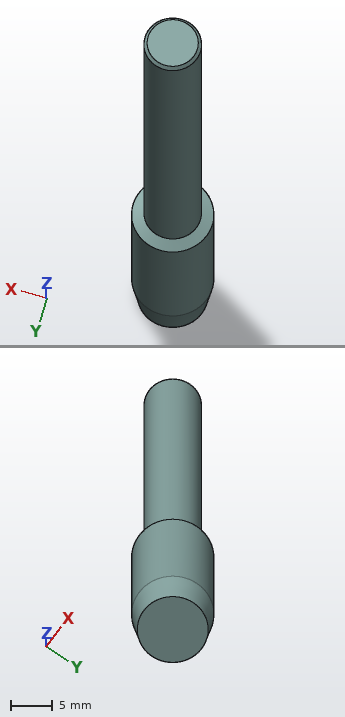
import cadquery as cq
import math

total_length = 75.0
head_diameter = 10.0
shank_diameter = 7.0

head_length = 24.0
lead_in_length = 5.0
lead_in_angle = 8.0

flare_angle = 20.0
bevel = 0.4

head_radius = head_diameter / 2
shank_radius = shank_diameter / 2
lead_in_radius = head_radius - lead_in_length * math.tan(math.radians(lead_in_angle))
flare_height = (head_radius - shank_radius) * math.tan(math.radians(flare_angle))


def revolve_about_z(half_profile):
    """Turn a closed (radius, height) outline a full circle about the Z axis."""
    return cq.Workplane("XZ").polyline(half_profile).close().revolve(360, (0, 0, 0), (0, 1, 0))


def make_head():
    """Solid round head with a tapered lower end and a flat top."""
    return revolve_about_z([
        (0, 0),
        (lead_in_radius, 0),
        (head_radius, lead_in_length),
        (head_radius, head_length),
        (0, head_length),
    ])


def make_shank():
    """Round shank standing on the head, flaring out to the head's diameter at its foot."""
    return revolve_about_z([
        (0, head_length),
        (head_radius, head_length),
        (shank_radius, head_length + flare_height),
        (shank_radius, total_length - bevel),
        (shank_radius - bevel, total_length),
        (0, total_length),
    ])


head = make_head()
shank = make_shank()

result = cq.Compound.makeCompound([head.val(), shank.val()])